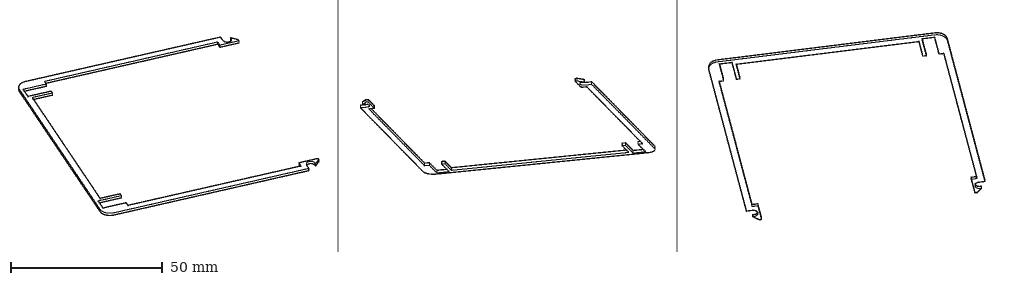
import cadquery as cq

width = 80.0
length = 77.5
thickness = 1.0
wall = 2.3
corner_radius = 3.5

pad_width = 3.9
slot_width = 4.2
rib_width = 1.2
rib_top = 9.4
slot_floor = 1.2

clip_inner = 4.2
tip_flat = 0.7
barb_size = 1.9
notch_diameter = 3.0
notch_depth = 2.0
clip_height = 6.8

half_width = width / 2
barb_y = length - barb_size
shoulder_y = barb_y - notch_diameter
clip_base_y = length - clip_height


def make_box(x_start, x_end, y_start, y_end):
    """Flat block spanning the given X and Y ranges."""
    return (
        cq.Workplane("XY")
        .rect(x_end - x_start, y_end - y_start)
        .extrude(thickness)
        .translate(((x_start + x_end) / 2, (y_start + y_end) / 2, 0))
    )


def make_frame():
    """Three-sided frame with rounded outer corners."""
    outer = make_box(-half_width, half_width, 0, shoulder_y)
    outer = outer.edges("|Z and <Y").fillet(corner_radius)
    opening = make_box(-half_width + wall, half_width - wall, wall, shoulder_y)
    return outer.cut(opening)


def make_clip():
    """Left snap clip: base block, round notch and pointed barb."""
    outer_x = -half_width
    inner_x = outer_x + clip_inner
    flat_x = inner_x - tip_flat
    barb_x = flat_x - barb_size
    notch_radius = notch_diameter / 2
    notch_x = barb_x + notch_depth
    notch_center_x = notch_x - notch_radius
    return (
        cq.Workplane("XY")
        .moveTo(outer_x, clip_base_y)
        .lineTo(inner_x, clip_base_y)
        .lineTo(inner_x, length)
        .lineTo(flat_x, length)
        .lineTo(barb_x, barb_y)
        .lineTo(notch_center_x, barb_y)
        .threePointArc((notch_x, barb_y - notch_radius), (notch_center_x, shoulder_y))
        .lineTo(outer_x, shoulder_y)
        .close()
        .extrude(thickness)
    )


def add_corner_slot(body):
    """Add the left pad and rib, then sink the slot floor between them."""
    pad_x = -half_width + pad_width
    rib_x = pad_x + slot_width
    pad = make_box(-half_width + wall / 2, pad_x, corner_radius, rib_top)
    corner_fill = make_box(-half_width + wall, pad_x, wall / 2, corner_radius)
    rib = make_box(rib_x, rib_x + rib_width, wall / 2, rib_top)
    slot = make_box(pad_x, rib_x, slot_floor, rib_top)
    return body.union(pad).union(corner_fill).union(rib).cut(slot)


half_space = make_box(-half_width, 0, 0, length)
left_half = add_corner_slot(make_frame().intersect(half_space)).union(make_clip())
result = left_half.union(left_half.mirror("YZ")).clean()